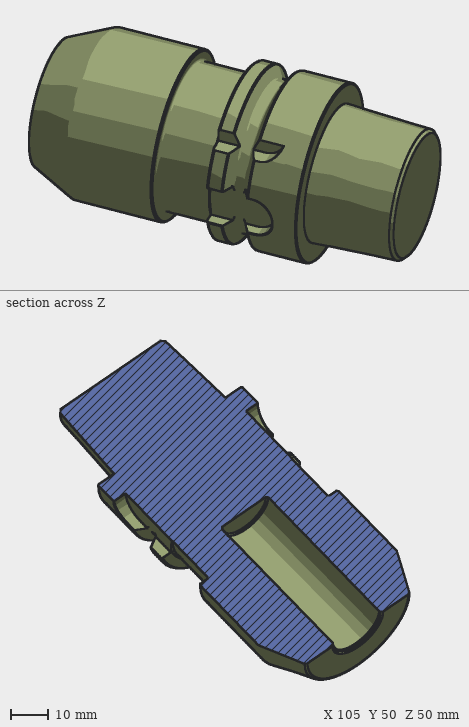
import cadquery as cq
import math

length = 105.0

nose_face_radius = 17.4
nose_radius = 18.2
nose_chamfer = 0.3
body_radius = 48.0 / 2
nose_angle = math.radians(25)
nose_end = nose_chamfer + (body_radius - nose_radius) / math.tan(nose_angle)
nose_blend = 1.0
body_end = 38.0
body_chamfer = 0.4

neck_radius = 41.6 / 2
neck_fillet = 0.6

flange_radius = 50.0 / 2
flange_start = 53.8
flange_end = 79.9
flange_chamfer = 0.5
flange_back_chamfer = 0.3
groove_radius = 21.4
groove_floor_start = 60.4
groove_floor_end = 63.5
groove_rim_bevel = 0.2
groove_floor_fillet = 0.6
groove_wall_angle = math.radians(60)
groove_run = (flange_radius - groove_radius) / math.tan(groove_wall_angle)
groove_mouth_start = groove_floor_start - groove_run
groove_mouth_end = groove_floor_end + groove_run
rim_bevel_run = groove_rim_bevel * math.cos(groove_wall_angle)
rim_bevel_drop = groove_rim_bevel * math.sin(groove_wall_angle)

shank_start_radius = 19.3
shank_end_radius = 18.3
shank_chamfer = 0.9

bore_radius = 16.0 / 2
bore_mouth_radius = 17.5 / 2
bore_lead_radius = 16.5 / 2
bore_mouth_chamfer = 0.4
bore_lead_end = 0.8
bore_floor_radius = 15.0 / 2
bore_floor_chamfer = bore_radius - bore_floor_radius
bore_depth = 48.3

slot_radius = 6.0
slot_end_center = 67.0
slot_end = slot_end_center + slot_radius
slot_floor = 20.9
slot_edge_bevel = 0.2
slot_open_end = flange_start - neck_fillet

notch_wall = 15.3
notch_floor = 15.8


SELECT_MARGIN = 0.05

AXIS_START = (0, 0, 0)
AXIS_END = (1, 0, 0)


def turned_body():
    """Solid of revolution with the outer profile of the holder."""
    profile = [
        (0, 0),
        (0, nose_face_radius),
        (nose_chamfer, nose_radius),
        (nose_end, body_radius),
        (body_end - body_chamfer, body_radius),
        (body_end, body_radius - body_chamfer),
        (body_end, neck_radius),
        (flange_start, neck_radius),
        (flange_start, flange_radius - flange_chamfer),
        (flange_start + flange_chamfer, flange_radius),
        (groove_mouth_start - groove_rim_bevel, flange_radius),
        (groove_mouth_start + rim_bevel_run, flange_radius - rim_bevel_drop),
        (groove_floor_start, groove_radius),
        (groove_floor_end, groove_radius),
        (groove_mouth_end - rim_bevel_run, flange_radius - rim_bevel_drop),
        (groove_mouth_end + groove_rim_bevel, flange_radius),
        (flange_end - flange_back_chamfer, flange_radius),
        (flange_end, flange_radius - flange_back_chamfer),
        (flange_end, shank_start_radius),
        (length - shank_chamfer, shank_end_radius),
        (length, shank_end_radius - shank_chamfer),
        (length, 0),
    ]
    solid = cq.Workplane("XY").polyline(profile).close().revolve(360, AXIS_START, AXIS_END)
    solid = blend_circle(solid, nose_end, body_radius, nose_blend)
    for neck_end in (body_end, flange_start):
        solid = blend_circle(solid, neck_end, neck_radius, neck_fillet)
    for floor_end in (groove_floor_start, groove_floor_end):
        solid = blend_circle(solid, floor_end, groove_radius, groove_floor_fillet)
    return solid


def centered_box(x, half_size):
    """Selector for edges inside a thin square box centred on the axis at the given X."""
    return cq.selectors.BoxSelector(
        (x - SELECT_MARGIN, -half_size, -half_size),
        (x + SELECT_MARGIN, half_size, half_size),
        boundingbox=True,
    )


def blend_circle(solid, x, radius, fillet):
    """Fillet the circular edge of the given radius that lies at the given X."""
    outer_box = centered_box(x, radius + SELECT_MARGIN)
    inner_box = centered_box(x, radius - SELECT_MARGIN)
    return solid.edges(outer_box - inner_box).fillet(fillet)


def bore():
    """Blind bore with a two-step chamfered mouth and a chamfered floor edge."""
    profile = [
        (0, 0),
        (0, bore_mouth_radius),
        (bore_mouth_chamfer, bore_lead_radius),
        (bore_lead_end, bore_radius),
        (bore_depth - bore_floor_chamfer, bore_radius),
        (bore_depth, bore_floor_radius),
        (bore_depth, 0),
    ]
    return cq.Workplane("XY").polyline(profile).close().revolve(360, AXIS_START, AXIS_END)


def drive_slot(side):
    """Round-ended slot, open toward the neck; side is -1 for -Y and +1 for +Y."""
    return (
        cq.Workplane("XZ", origin=(0, side * slot_floor, 0))
        .moveTo(slot_open_end, -slot_radius)
        .lineTo(slot_end_center, -slot_radius)
        .threePointArc((slot_end, 0), (slot_end_center, slot_radius))
        .lineTo(slot_open_end, slot_radius)
        .close()
        .extrude(-side * (flange_radius - slot_floor))
    )


def corner_notch():
    """Square corner cut whose floor curves upward at its closed end."""
    return (
        cq.Workplane("XZ", origin=(0, -notch_wall, 0))
        .moveTo(flange_start, notch_floor)
        .lineTo(slot_end_center, notch_floor)
        .radiusArc((slot_end, notch_floor + slot_radius), -slot_radius)
        .lineTo(slot_end, flange_radius)
        .lineTo(flange_start, flange_radius)
        .close()
        .extrude(flange_radius - notch_wall)
    )


def bevel_slot_edges(solid, side):
    """Bevel the edges where a driving slot breaks through the flange surface."""
    edge_reach = math.sqrt(flange_radius**2 - slot_radius**2) - SELECT_MARGIN
    near, far = sorted((side * edge_reach, side * (flange_radius + SELECT_MARGIN)))
    for start, end in ((flange_start, groove_floor_start), (groove_floor_end, slot_end)):
        selector = cq.selectors.BoxSelector(
            (start, near, -slot_radius - SELECT_MARGIN),
            (end + SELECT_MARGIN, far, slot_radius + SELECT_MARGIN),
            boundingbox=True,
        )
        solid = solid.edges(selector).chamfer(slot_edge_bevel)
    return solid


result = turned_body().cut(bore()).cut(corner_notch())
for slot_side in (-1, 1):
    result = result.cut(drive_slot(slot_side))
    result = bevel_slot_edges(result, slot_side)